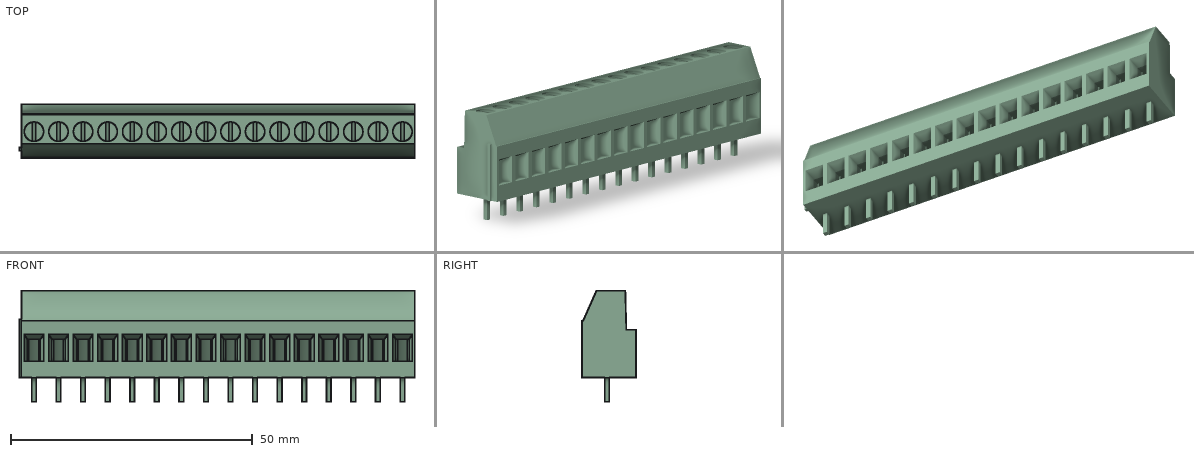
import cadquery as cq


terminal_count = 16
pitch = 5.08
terminal_xs = [(i - (terminal_count - 1) / 2) * pitch for i in range(terminal_count)]

body_length = 81.35
body_depth = 11.2
body_height = 18.0
front_face_height = 11.8
top_front_setback = 3.0
slope_foot_setback = 0.25
rear_ledge_height = 9.9
rear_ledge_depth = 2.0
rear_top_setback = 2.2

rib_projection = 0.5
rib_width = 0.75
rib_height = 12.1
rib_setback = 1.5

entry_width = 4.1
entry_floor = 3.4
entry_height = 5.55
throat_width = 2.7
throat_height = 4.5
funnel_depth = 2.3
throat_end_setback = 3.9

screw_setback = 5.5
clamp_bore_diameter = 3.8
screw_diameter = 4.0
screw_recess = 0.2
slot_width = 0.75
slot_depth = 0.8

pin_size = 1.0
pin_length = 5.0
pin_setback = 5.2


def make_housing():
    profile = [
        (0, 0),
        (0, front_face_height),
        (slope_foot_setback, front_face_height),
        (top_front_setback, body_height),
        (body_depth - rear_top_setback, body_height),
        (body_depth - rear_ledge_depth, rear_ledge_height),
        (body_depth, rear_ledge_height),
        (body_depth, 0),
    ]
    return (
        cq.Workplane("YZ")
        .workplane(offset=-body_length / 2)
        .polyline(profile)
        .close()
        .extrude(body_length)
    )


def make_end_rib():
    rib_left = -body_length / 2 - rib_projection
    return (
        cq.Workplane("XY", origin=(rib_left, rib_setback, 0))
        .box(rib_projection, rib_width, rib_height, centered=False)
    )


def make_wire_entry(x):
    """Level-floored funnel and straight throat, opening into the round clamping bore."""
    throat_center_shift = (throat_height - entry_height) / 2
    funnel = (
        cq.Workplane("XZ", origin=(x, 0, entry_floor + entry_height / 2))
        .rect(entry_width, entry_height)
        .workplane(offset=-funnel_depth)
        .center(0, throat_center_shift)
        .rect(throat_width, throat_height)
        .loft(ruled=True)
    )
    throat = (
        cq.Workplane("XY", origin=(x, (funnel_depth + throat_end_setback) / 2, entry_floor))
        .rect(throat_width, throat_end_setback - funnel_depth)
        .extrude(throat_height)
    )
    bore = (
        cq.Workplane("XY", origin=(x, screw_setback, entry_floor))
        .circle(clamp_bore_diameter / 2)
        .extrude(throat_height)
    )
    return funnel.union(throat).union(bore)


def make_screw_recess(x):
    """Shallow round recess down to the screw head, with the driver slot cut across the head."""
    head_top = body_height - screw_recess
    slot_floor = head_top - slot_depth
    recess = (
        cq.Workplane("XY", origin=(x, screw_setback, head_top))
        .circle(screw_diameter / 2)
        .extrude(screw_recess)
    )
    head_disc = (
        cq.Workplane("XY", origin=(x, screw_setback, slot_floor))
        .circle(screw_diameter / 2)
        .extrude(slot_depth)
    )
    slot = (
        cq.Workplane("XY", origin=(x, screw_setback, slot_floor))
        .rect(slot_width, screw_diameter)
        .extrude(slot_depth)
        .intersect(head_disc)
    )
    return recess.union(slot)


def make_pin(x):
    return (
        cq.Workplane("XY", origin=(x, pin_setback, 0))
        .rect(pin_size, pin_size)
        .extrude(-pin_length)
    )


result = make_housing().union(make_end_rib())
for terminal_x in terminal_xs:
    result = result.cut(make_wire_entry(terminal_x))
    result = result.cut(make_screw_recess(terminal_x))
    result = result.union(make_pin(terminal_x))